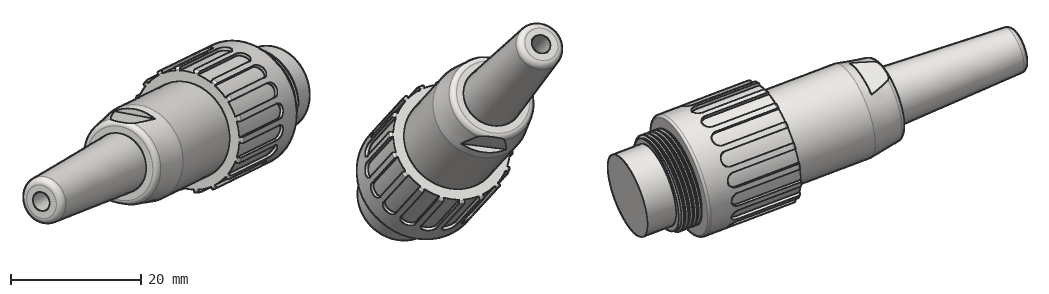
import cadquery as cq
LENGTH = 67.4
PLUG_END_Y = LENGTH / 2
BOOT_END_Y = -LENGTH / 2

PLUG_LENGTH = 4.9
THREAD_LENGTH = 3.9
SLEEVE_LENGTH = 16.2
BODY_LENGTH = 13.7
TAPER_LENGTH = 5.85

PLUG_DIAMETER = 13.5
BODY_DIAMETER = 15.5
TAPER_END_DIAMETER = 13.5
TAPER_END_FILLET = 0.95

THREAD_MAJOR_DIAMETER = 16.0
THREAD_MINOR_DIAMETER = 15.15
THREAD_PITCH = 0.75
THREAD_TURNS = 4.8
THREAD_LEAD_IN = 0.4
RIDGE_BASE = 0.7
RIDGE_CREST = 0.15
RIDGE_OVERLAP = 0.1

SLEEVE_DIAMETER = 20.0
SLEEVE_FILLET = 0.4
FLUTE_COUNT = 18
FLUTE_WIDTH = 2.5
FLUTE_DEPTH = 0.55
FLUTE_SETBACK = 4.05

FLATS_ACROSS = 13.1
FLATS_SETBACK = 1.5

BOOT_ROOT_DIAMETER = 9.6
BOOT_TIP_DIAMETER = 7.4
BOOT_TIP_FILLET = 1.1
CABLE_HOLE_DIAMETER = 3.0

THREAD_START_Y = PLUG_END_Y - PLUG_LENGTH
SLEEVE_FRONT_Y = THREAD_START_Y - THREAD_LENGTH
SLEEVE_REAR_Y = SLEEVE_FRONT_Y - SLEEVE_LENGTH
TAPER_START_Y = SLEEVE_REAR_Y - BODY_LENGTH
TAPER_END_Y = TAPER_START_Y - TAPER_LENGTH
BOOT_LENGTH = TAPER_END_Y - BOOT_END_Y


def cylinder(diameter, start_y, length):
    """Solid cylinder on the Y axis, running from start_y towards -Y."""
    plane = cq.Workplane("XZ", origin=(0, start_y, 0))
    return plane.circle(diameter / 2).extrude(length)


def cone(start_diameter, end_diameter, start_y, length):
    """Solid truncated cone on the Y axis, running from start_y towards -Y."""
    solid = cq.Solid.makeCone(
        start_diameter / 2, end_diameter / 2, length, cq.Vector(0, start_y, 0), cq.Vector(0, -1, 0)
    )
    return cq.Workplane(obj=solid)


def make_thread():
    """Right-handed helical ridge on a minor-diameter core that reaches through the sleeve."""
    core_radius = THREAD_MINOR_DIAMETER / 2
    crest_radius = THREAD_MAJOR_DIAMETER / 2
    root_radius = core_radius - RIDGE_OVERLAP
    helix = cq.Wire.makeHelix(THREAD_PITCH, THREAD_PITCH * THREAD_TURNS, core_radius)
    ridge = (
        cq.Workplane("XZ")
        .polyline(
            [
                (root_radius, -RIDGE_BASE / 2),
                (crest_radius, -RIDGE_CREST / 2),
                (crest_radius, RIDGE_CREST / 2),
                (root_radius, RIDGE_BASE / 2),
            ]
        )
        .close()
        .sweep(cq.Workplane(obj=helix), isFrenet=True)
    )
    ridge = ridge.rotate((0, 0, 0), (1, 0, 0), 90)
    ridge = ridge.translate((0, THREAD_START_Y - THREAD_LEAD_IN, 0))
    core = cylinder(THREAD_MINOR_DIAMETER, THREAD_START_Y, THREAD_LENGTH + SLEEVE_LENGTH)
    return core.union(ridge)


def make_flute_cutters():
    """Round-ended slot shapes around the sleeve, all down to one floor cylinder."""
    half_width = FLUTE_WIDTH / 2
    round_center_y = SLEEVE_FRONT_Y - FLUTE_SETBACK - half_width
    straight_length = round_center_y - SLEEVE_REAR_Y
    slot = (
        cq.Workplane("XY")
        .moveTo(-half_width, round_center_y)
        .threePointArc((0, round_center_y + half_width), (half_width, round_center_y))
        .vLine(-straight_length)
        .hLine(-FLUTE_WIDTH)
        .close()
        .extrude(SLEEVE_DIAMETER)
    )
    floor_core = cylinder(SLEEVE_DIAMETER - 2 * FLUTE_DEPTH, SLEEVE_FRONT_Y, SLEEVE_LENGTH)
    slot = slot.cut(floor_core)
    cutters = [
        slot.rotate((0, 0, 0), (0, 1, 0), index * 360 / FLUTE_COUNT).val() for index in range(FLUTE_COUNT)
    ]
    return cq.Workplane(obj=cq.Compound.makeCompound(cutters))


def make_sleeve():
    sleeve = cylinder(SLEEVE_DIAMETER, SLEEVE_FRONT_Y, SLEEVE_LENGTH)
    sleeve = sleeve.faces("<Y or >Y").edges().fillet(SLEEVE_FILLET)
    return sleeve.cut(make_flute_cutters())


def make_tapered_end():
    """Tapered end of the body with a wrench flat on its +Z and -Z sides."""
    taper = cone(BODY_DIAMETER, TAPER_END_DIAMETER, TAPER_START_Y, TAPER_LENGTH)
    taper = taper.faces("<Y").edges().fillet(TAPER_END_FILLET)
    flat_length = TAPER_LENGTH - FLATS_SETBACK
    waste = cq.Workplane("XY").box(BODY_DIAMETER, flat_length, BODY_DIAMETER)
    waste = waste.translate((0, TAPER_END_Y + flat_length / 2, (FLATS_ACROSS + BODY_DIAMETER) / 2))
    return taper.cut(waste).cut(waste.mirror("XY"))


def make_boot():
    boot = cone(BOOT_ROOT_DIAMETER, BOOT_TIP_DIAMETER, TAPER_END_Y, BOOT_LENGTH)
    boot = boot.faces("<Y").edges().fillet(BOOT_TIP_FILLET)
    return boot.cut(cylinder(CABLE_HOLE_DIAMETER, TAPER_END_Y, BOOT_LENGTH))


plug = cylinder(PLUG_DIAMETER, PLUG_END_Y, PLUG_LENGTH)
body = cylinder(BODY_DIAMETER, SLEEVE_REAR_Y, BODY_LENGTH)

result = (
    plug.union(make_thread())
    .union(make_sleeve())
    .union(body)
    .union(make_tapered_end())
    .union(make_boot())
)